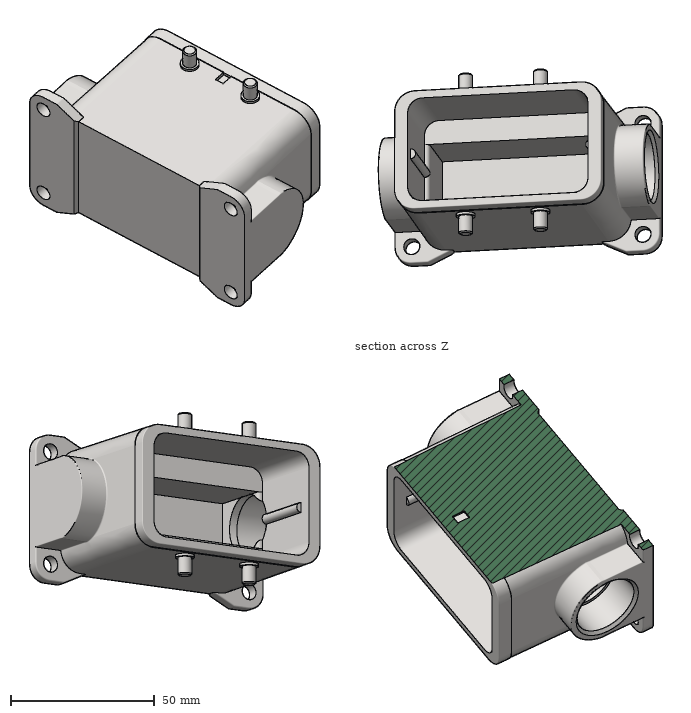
import cadquery as cq
import math

length = 94.0
depth = 56.9
pin_span = 57.5
end_x = length / 2

body_length = 73.7
body_width = 43.9
body_corner_radius = 8.0
body_draft = 0.4
body_back = 1.1

rim_length = 73.3
rim_width = 42.7
rim_height = 5.1
rim_corner_radius = 7.2
rim_edge_radius = 0.3
rim_base = depth - rim_height

flange_width = 52.1
flange_thickness = 4.2
flange_corner_radius = 6.0
flange_shoulder_x = 35.2
flange_shoulder_radius = 1.1
flange_inner_x = 26.4
flange_edge_radius = 0.5
flange_hole_diameter = 5.6

port_y = 19.0
boss_radius = 14.9
boss_flat_width = 29.3
boss_flat_end_y = 19.7
boss_arc_start_y = 21.2
boss_edge_radius = 0.3
boss_root_radius = 0.4

bore_radius = 11.7
bore_mouth_radius = 12.8
bore_mouth_depth = 1.1
bore_end_x = 33.2
opening_radius = 10.5

wall = 2.8
end_wall = 4.7
post_radius = 1.8
ledge_y = 26.9
ledge_radius = 1.3
chamber_length = rim_length - 2 * end_wall
chamber_width = rim_width - 2 * wall
chamber_corner_radius = body_corner_radius - wall
pocket_floor = body_back + wall
pocket_width = 20.1
pocket_length = chamber_length - 2 * post_radius

pin_x = 13.3
pin_y = 47.5
pin_diameter = 4.9
pin_chamfer = 0.5
pin_embed = 0.9
collar_diameter = 6.6
collar_height = 0.6

notch_width = 3.4
notch_length = 4.7
notch_depth = 1.0

margin = 0.1

draft_allowance = 0.9


def plane_at(y):
    """Workplane at height y, facing +Y, with its local x along +X and local y along -Z."""
    return cq.Workplane(cq.Plane(origin=(0, y, 0), xDir=(1, 0, 0), normal=(0, 1, 0)))


def rounded_outline(y, size_x, size_z, radius):
    """Rectangle with rounded corners at height y, ready to extrude."""
    outline = cq.Sketch().rect(size_x, size_z).vertices().fillet(radius)
    return plane_at(y).placeSketch(outline)


def make_body():
    """Solid drafted body with the straight rim on top."""
    body = rounded_outline(body_back, body_length, body_width, body_corner_radius)
    body = body.extrude(rim_base - body_back, taper=body_draft)
    rim = rounded_outline(rim_base, rim_length, rim_width, rim_corner_radius).extrude(rim_height)
    rim = rim.faces(">Y").edges().fillet(rim_edge_radius)
    return body.union(rim)


def make_flange():
    """Flange at the +X end, tapering inwards to the width of the body."""
    half_width = flange_width / 2
    half_body = body_width / 2
    flange = (
        plane_at(0)
        .moveTo(flange_inner_x, -half_body)
        .lineTo(flange_shoulder_x, -half_width)
        .lineTo(end_x, -half_width)
        .lineTo(end_x, half_width)
        .lineTo(flange_shoulder_x, half_width)
        .lineTo(flange_inner_x, half_body)
        .close()
        .extrude(flange_thickness)
    )
    flange = flange.edges("|Y and (not <X) and (not >X)").fillet(flange_shoulder_radius)
    flange = flange.edges("|Y and >X").fillet(flange_corner_radius)
    flange = flange.faces("<Y").edges("<X").chamfer(body_back)
    flange = flange.faces(">Y").edges("not <X").fillet(flange_edge_radius)
    hole_x = end_x - flange_corner_radius
    hole_z = half_width - flange_corner_radius
    holes = (
        plane_at(0)
        .pushPoints([(hole_x, -hole_z), (hole_x, hole_z)])
        .circle(flange_hole_diameter / 2)
        .extrude(flange_thickness)
    )
    return flange.cut(holes)


def make_boss():
    """Round-topped boss at the +X end, standing on the flange."""
    base_x = chamber_length / 2
    half_flat = boss_flat_width / 2
    arc_start_z = math.sqrt(boss_radius ** 2 - (boss_arc_start_y - port_y) ** 2)
    boss = (
        cq.Workplane("YZ", origin=(base_x, 0, 0))
        .moveTo(0, -half_flat)
        .lineTo(boss_flat_end_y, -half_flat)
        .lineTo(boss_arc_start_y, -arc_start_z)
        .threePointArc((port_y + boss_radius, 0), (boss_arc_start_y, arc_start_z))
        .lineTo(boss_flat_end_y, half_flat)
        .lineTo(0, half_flat)
        .close()
        .extrude(end_x - base_x)
    )
    return boss.faces(">X").edges("not <Y").fillet(boss_edge_radius)


def round_boss_roots(housing):
    """Fillet the edges where the two bosses meet the end faces of the body."""
    inner_x = body_length / 2 - draft_allowance
    outer_x = body_length / 2 + margin
    low_y = flange_thickness + margin
    high_y = port_y + boss_radius + margin
    for side in (-1, 1):
        root = cq.selectors.BoxSelector(
            (side * inner_x, low_y, -boss_radius),
            (side * outer_x, high_y, boss_radius),
        )
        housing = housing.edges(root).fillet(boss_root_radius)
    return housing


def make_cavity():
    """Space inside the housing, with rounded end ledges and a half-round post on each end wall."""
    chamber = rounded_outline(ledge_y, chamber_length, chamber_width, chamber_corner_radius)
    chamber = chamber.extrude(depth - ledge_y)
    pocket = plane_at(pocket_floor).rect(pocket_length, pocket_width).extrude(ledge_y - pocket_floor)
    cavity = chamber.union(pocket)
    half_length = pocket_length / 2 + margin
    ledge_edges = cq.selectors.BoxSelector(
        (-half_length, ledge_y - margin, -margin),
        (half_length, ledge_y + margin, margin),
    )
    cavity = cavity.edges(ledge_edges).fillet(ledge_radius)
    post_base = ledge_y - ledge_radius
    posts = (
        plane_at(post_base)
        .pushPoints([(-chamber_length / 2, 0), (chamber_length / 2, 0)])
        .circle(post_radius)
        .extrude(rim_base - post_base)
    )
    return cavity.cut(posts)


def make_port():
    """Bore entering through the -X boss: countersunk mouth, wide bore, narrower opening into the pocket."""
    inner_x = -pocket_length / 2
    port = (
        cq.Workplane("XY")
        .moveTo(-end_x, 0)
        .lineTo(-end_x, bore_mouth_radius)
        .lineTo(-end_x + bore_mouth_depth, bore_radius)
        .lineTo(-bore_end_x, bore_radius)
        .lineTo(-bore_end_x, opening_radius)
        .lineTo(inner_x, opening_radius)
        .lineTo(inner_x, 0)
        .close()
        .revolve(360, (0, 0, 0), (1, 0, 0))
    )
    return port.translate((0, port_y, 0))


def make_pin():
    """Locking pin with its collar, pointing towards +Z and rooted in the body wall."""
    base_z = rim_width / 2 - pin_embed
    collar_top = body_width / 2 + collar_height
    base = cq.Workplane("XY", origin=(0, pin_y, base_z))
    collar = base.circle(collar_diameter / 2).extrude(collar_top - base_z)
    pin = base.circle(pin_diameter / 2).extrude(pin_span / 2 - base_z)
    pin = pin.faces(">Z").chamfer(pin_chamfer)
    return collar.union(pin)


def make_notch():
    """Shallow rectangular notch in the +Z side, ending at the rim."""
    floor_z = rim_width / 2 - notch_depth
    height = body_width / 2 - floor_z
    notch = cq.Workplane("XY").box(notch_width, notch_length, height, centered=(True, False, False))
    return notch.translate((0, rim_base - notch_length, floor_z))


result = make_body()
for end_part in (make_boss(), make_flange()):
    result = result.union(end_part).union(end_part.mirror("YZ"))
result = round_boss_roots(result)

upper_pin = make_pin()
for x in (-pin_x, pin_x):
    placed_pin = upper_pin.translate((x, 0, 0))
    result = result.union(placed_pin).union(placed_pin.mirror("XY"))

result = result.cut(make_cavity()).cut(make_port()).cut(make_notch())